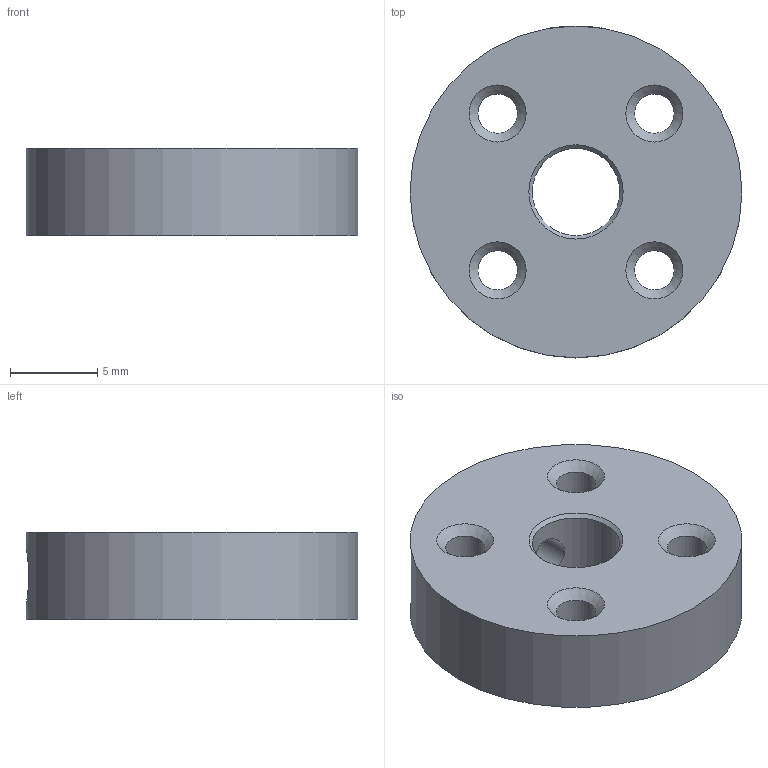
import cadquery as cq
import math

disc_diameter = 19.0
disc_thickness = 5.0

bore_diameter = 5.0
bore_chamfer = 0.2

bolt_circle_diameter = 12.7
screw_hole_count = 4
first_screw_angle = 45.0
screw_hole_diameter = 2.26
countersink_diameter = 3.27
countersink_depth = (countersink_diameter - screw_hole_diameter) / 2

set_screw_diameter = 2.5
set_screw_chamfer = 0.4
set_screw_height = disc_thickness / 2


def hole_with_chamfer(diameter, chamfer):
    """Through hole on the Z axis with a 45 degree chamfer at its top edge."""
    radius = diameter / 2
    profile = (
        cq.Workplane("XZ")
        .moveTo(0, 0)
        .lineTo(radius, 0)
        .lineTo(radius, disc_thickness - chamfer)
        .lineTo(radius + chamfer, disc_thickness)
        .lineTo(0, disc_thickness)
        .close()
    )
    return profile.revolve(360, (0, 0, 0), (0, 1, 0))


def cut_screw_holes(body):
    """Cut the evenly spaced, countersunk screw holes."""
    hole = hole_with_chamfer(screw_hole_diameter, countersink_depth)
    bolt_circle_radius = bolt_circle_diameter / 2
    for index in range(screw_hole_count):
        angle = math.radians(first_screw_angle + index * 360 / screw_hole_count)
        x = bolt_circle_radius * math.cos(angle)
        y = bolt_circle_radius * math.sin(angle)
        body = body.cut(hole.translate((x, y, 0)))
    return body


def cut_set_screw_hole(body):
    """Cut the set screw hole along +Y and chamfer its mouth evenly around the curved rim."""
    start = (0, 0, set_screw_height)
    axis_plane = cq.Plane(origin=start, xDir=(1, 0, 0), normal=(0, 1, 0))
    hole = cq.Workplane(axis_plane).circle(set_screw_diameter / 2).extrude(disc_diameter)
    body = body.cut(hole)
    mouth_center = (0, disc_diameter / 2, set_screw_height)
    mouth_edge = cq.selectors.NearestToPointSelector(mouth_center)
    return body.edges(mouth_edge).chamfer(set_screw_chamfer)


disc = cq.Workplane("XY").circle(disc_diameter / 2).extrude(disc_thickness)
disc = disc.cut(hole_with_chamfer(bore_diameter, bore_chamfer))
disc = cut_screw_holes(disc)
result = cut_set_screw_hole(disc)